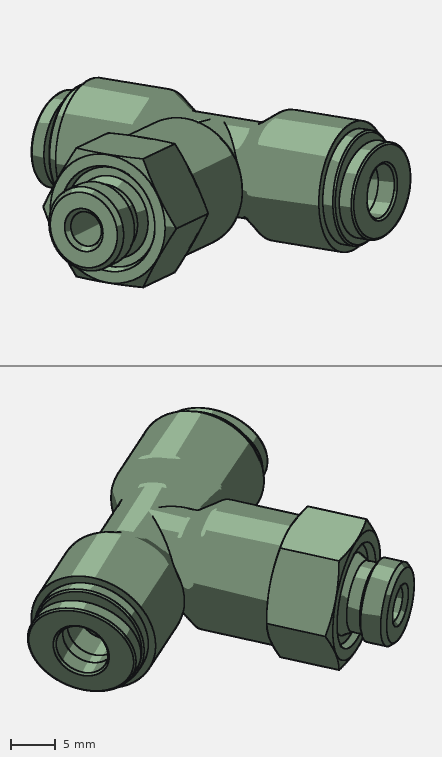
import cadquery as cq
import math

OVERALL_LENGTH = 41.9
HALF_LENGTH = OVERALL_LENGTH / 2
RUN_ARM_ANGLES = (0, 180)
BRANCH_ANGLE = -90

ARM_DIAMETER = 14.9
WAIST_DIAMETER = 10.98
ARM_END = 17.1
TAPER_START = 4.9
TAPER_END = 7.9
TAPER_BLEND = 0.92

TUBE_BORE_DIAMETER = 6.2
TUBE_BORE_END = 13.83

COLLAR_DIAMETER = 13.15
COLLAR_LENGTH = 1.5
COLLAR_END = ARM_END + COLLAR_LENGTH
COLLAR_CHAMFER = 0.2

NECK_DIAMETER = 7.5
HEAD_WIDTH = 13.0
HEAD_HEIGHT = 10.98
HEAD_THICKNESS = 1.75
HEAD_CHAMFER = 0.2
BUTTON_BORE_CHAMFER = 0.25

HEX_SIDES = 6
HEX_ACROSS_FLATS = 15.0
HEX_END = 25.0
HEX_CHAMFER_ANGLE = 20.0
HEX_FACE_DIAMETER = ARM_DIAMETER

RECESS_MOUTH_DIAMETER = 12.25
RECESS_FLOOR_DIAMETER = 11.55
RECESS_DEPTH = 0.8

STUD_END = 30.3
STUD_NECK_DIAMETER = 8.2
NECK_ROOT_DIAMETER = 9.55
NECK_FLARE_END = 25.4
THREAD_DIAMETER = 9.7
THREAD_TIP_DIAMETER = 8.7
THREAD_START = 26.95
THREAD_BACK_CHAMFER = 0.4
THREAD_TIP_CHAMFER = 0.55

STUD_BORE_DIAMETER = 4.0
STUD_BORE_MOUTH_DIAMETER = 5.0
STUD_BORE_CHAMFER = 0.5


def revolve_about_x(profile):
    """Revolve an XY profile, x along the axis and y as radius, about the X axis."""
    return profile.close().revolve(360, (0, 0, 0), (1, 0, 0))


def cylinder_x(diameter, start, end):
    """Cylinder on the X axis between two X positions."""
    return cq.Workplane("YZ", origin=(start, 0, 0)).circle(diameter / 2).extrude(end - start)


def turn(shape, angle):
    """Swing a shape built along +X about the Z axis onto another arm."""
    return shape.rotate((0, 0, 0), (0, 0, 1), angle)


def make_arm():
    """One arm from the tee centre: waist, blended taper and full-diameter end."""
    arm_radius = ARM_DIAMETER / 2
    waist_radius = WAIST_DIAMETER / 2
    arm = revolve_about_x(
        cq.Workplane("XY")
        .moveTo(0, 0)
        .lineTo(0, waist_radius)
        .lineTo(TAPER_START, waist_radius)
        .lineTo(TAPER_END, arm_radius)
        .lineTo(ARM_END, arm_radius)
        .lineTo(ARM_END, 0)
    )
    taper_edges = cq.selectors.BoxSelector(
        (TAPER_START - TAPER_BLEND, -ARM_DIAMETER, -ARM_DIAMETER),
        (TAPER_END + TAPER_BLEND, ARM_DIAMETER, ARM_DIAMETER),
    )
    return arm.edges("%CIRCLE").edges(taper_edges).fillet(TAPER_BLEND)


def make_tee():
    """Three arms joined at the centre, with a blind tube passage in each run arm."""
    arm = make_arm()
    bore = cylinder_x(TUBE_BORE_DIAMETER, TUBE_BORE_END, ARM_END)
    tee = turn(arm, BRANCH_ANGLE)
    for angle in RUN_ARM_ANGLES:
        tee = tee.union(turn(arm, angle))
    for angle in RUN_ARM_ANGLES:
        tee = tee.cut(turn(bore, angle))
    return tee


def make_collar():
    """Ring on the end face of an arm, bored for the tube and chamfered at its outer end."""
    collar = cylinder_x(COLLAR_DIAMETER, ARM_END, COLLAR_END)
    collar = collar.faces(">X").edges().chamfer(COLLAR_CHAMFER)
    return collar.cut(cylinder_x(TUBE_BORE_DIAMETER, ARM_END, COLLAR_END))


def make_button():
    """Oval head on a short round neck that stands on the collar, bored for the tube."""
    head_start = HALF_LENGTH - HEAD_THICKNESS
    head = (
        cq.Workplane("YZ", origin=(head_start, 0, 0))
        .ellipse(HEAD_WIDTH / 2, HEAD_HEIGHT / 2)
        .extrude(HEAD_THICKNESS)
        .faces(">X")
        .edges()
        .chamfer(HEAD_CHAMFER)
    )
    button = head.union(cylinder_x(NECK_DIAMETER, COLLAR_END, head_start))
    button = button.cut(cylinder_x(TUBE_BORE_DIAMETER, COLLAR_END, HALF_LENGTH))
    return button.faces(">X").edges("%CIRCLE").chamfer(BUTTON_BORE_CHAMFER)


def make_hexagon():
    """Hexagonal prism whose corners are turned off conically at both ends."""
    across_corners = HEX_ACROSS_FLATS / math.cos(math.pi / HEX_SIDES)
    corner_radius = across_corners / 2
    face_radius = HEX_FACE_DIAMETER / 2
    corner_drop = (corner_radius - face_radius) * math.tan(math.radians(HEX_CHAMFER_ANGLE))
    prism = (
        cq.Workplane("YZ", origin=(ARM_END, 0, 0))
        .polygon(HEX_SIDES, across_corners)
        .extrude(HEX_END - ARM_END)
    )
    turned_blank = revolve_about_x(
        cq.Workplane("XY")
        .moveTo(ARM_END, 0)
        .lineTo(ARM_END, face_radius)
        .lineTo(ARM_END + corner_drop, corner_radius)
        .lineTo(HEX_END - corner_drop, corner_radius)
        .lineTo(HEX_END, face_radius)
        .lineTo(HEX_END, 0)
    )
    return prism.intersect(turned_blank)


def make_stud():
    """Hexagon with a recessed face, a flared neck and a plain cylinder for the thread."""
    recess_floor = HEX_END - RECESS_DEPTH
    recess = revolve_about_x(
        cq.Workplane("XY")
        .moveTo(recess_floor, 0)
        .lineTo(recess_floor, RECESS_FLOOR_DIAMETER / 2)
        .lineTo(HEX_END, RECESS_MOUTH_DIAMETER / 2)
        .lineTo(HEX_END, 0)
    )
    spigot = revolve_about_x(
        cq.Workplane("XY")
        .moveTo(recess_floor, 0)
        .lineTo(recess_floor, NECK_ROOT_DIAMETER / 2)
        .lineTo(NECK_FLARE_END, STUD_NECK_DIAMETER / 2)
        .lineTo(THREAD_START, STUD_NECK_DIAMETER / 2)
        .lineTo(THREAD_START + THREAD_BACK_CHAMFER, THREAD_DIAMETER / 2)
        .lineTo(STUD_END - THREAD_TIP_CHAMFER, THREAD_DIAMETER / 2)
        .lineTo(STUD_END, THREAD_TIP_DIAMETER / 2)
        .lineTo(STUD_END, 0)
    )
    bore = revolve_about_x(
        cq.Workplane("XY")
        .moveTo(ARM_END, 0)
        .lineTo(ARM_END, STUD_BORE_DIAMETER / 2)
        .lineTo(STUD_END - STUD_BORE_CHAMFER, STUD_BORE_DIAMETER / 2)
        .lineTo(STUD_END, STUD_BORE_MOUTH_DIAMETER / 2)
        .lineTo(STUD_END, 0)
    )
    stud = make_hexagon().cut(recess).union(spigot).cut(bore)
    return turn(stud, BRANCH_ANGLE)


tee = make_tee()
stud = make_stud()

collars = []
buttons = []
for angle in RUN_ARM_ANGLES:
    collars.append(turn(make_collar(), angle))
    buttons.append(turn(make_button(), angle))

result = cq.Compound.makeCompound(
    [tee.val(), stud.val()] + [body.val() for body in collars + buttons]
)